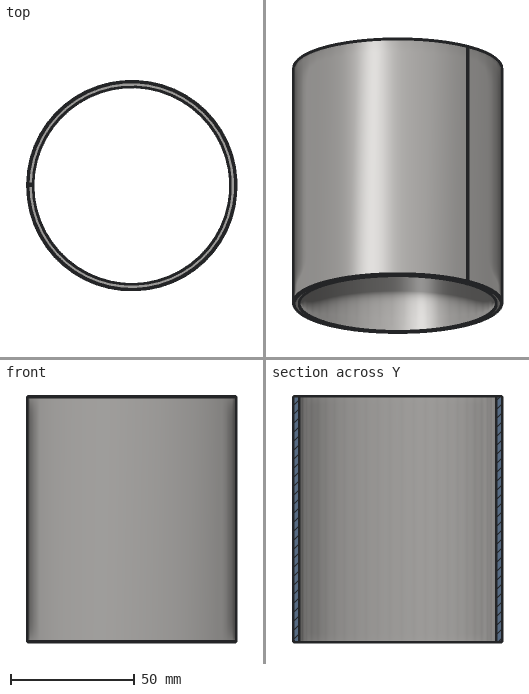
import cadquery as cq

outer_diameter = 85.0
wall_thickness = 2.5
length = 100.0
outer_rim_chamfer = 0.5
inner_rim_chamfer = 0.2
slit_angle = 1.0

outer_radius = outer_diameter / 2
inner_radius = outer_radius - wall_thickness
half_length = length / 2


def make_wall_section():
    """Wall section in the XZ plane on the -X side, with both rims chamfered."""
    top_inner_x = -(inner_radius + inner_rim_chamfer)
    top_outer_x = -(outer_radius - outer_rim_chamfer)
    inner_edge_z = half_length - inner_rim_chamfer
    outer_edge_z = half_length - outer_rim_chamfer
    return (
        cq.Workplane("XZ")
        .moveTo(-inner_radius, -inner_edge_z)
        .lineTo(-inner_radius, inner_edge_z)
        .lineTo(top_inner_x, half_length)
        .lineTo(top_outer_x, half_length)
        .lineTo(-outer_radius, outer_edge_z)
        .lineTo(-outer_radius, -outer_edge_z)
        .lineTo(top_outer_x, -half_length)
        .lineTo(top_inner_x, -half_length)
        .close()
    )


def make_sleeve():
    """Sweep the wall section around Z, stopping short to leave the slit open on the +Y side of -X."""
    axis_start = (0, 0, 0)
    axis_end = (0, 1, 0)
    return make_wall_section().revolve(360 - slit_angle, axis_start, axis_end)


result = make_sleeve()